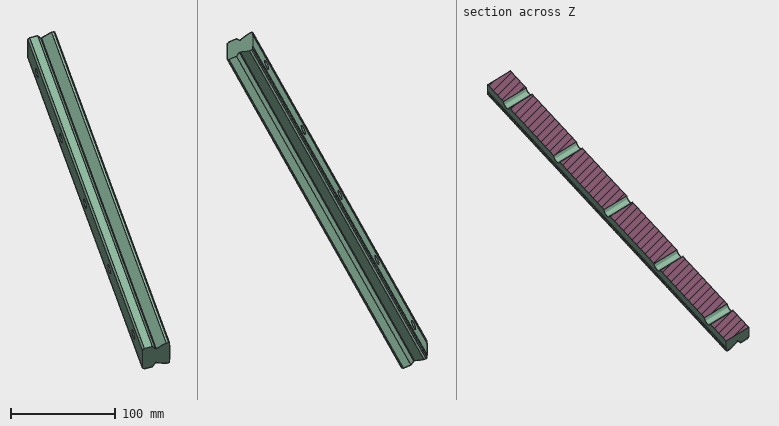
import cadquery as cq
import math

LENGTH = 380.0
HEIGHT = 27.5
WIDTH = 34.0

HOLE_DIAMETER = 9.0
HOLE_COUNT = 5
HOLE_PITCH = 80.0

BASE_CHAMFER = 2.0
BASE_FLANK_TOP = 10.0
GROOVE_FLOOR = 0.8
GROOVE_LOWER_ANGLE = 60.0
GROOVE_UPPER_ANGLE = 30.0
SLOPE_BREAK_HEIGHT = 21.1
LEAD_IN_ANGLE = 23.0
HEAD_FLANK_BOTTOM = 23.9
HEAD_CHAMFER = 1.1
TOP_PAD_HALF_WIDTH = 11.2
TOP_PAD_HEIGHT = 0.2


def slope(angle):
    """Inset gained per unit of height on a wall tilted by the angle from the Y axis."""
    return math.tan(math.radians(angle))


def half_section():
    """Corner points (Y, Z) of the +Z side, from the mounting face to the top face."""
    side = WIDTH / 2
    shoulder = HEIGHT - TOP_PAD_HEIGHT
    break_inset = (HEAD_FLANK_BOTTOM - SLOPE_BREAK_HEIGHT) * slope(LEAD_IN_ANGLE)

    lower = slope(GROOVE_LOWER_ANGLE)
    upper = slope(GROOVE_UPPER_ANGLE)
    wall_span = SLOPE_BREAK_HEIGHT - BASE_FLANK_TOP - GROOVE_FLOOR
    floor_inset = (wall_span + break_inset / upper) / (1 / lower + 1 / upper)
    floor_bottom = BASE_FLANK_TOP + floor_inset / lower

    return [
        (0, side - BASE_CHAMFER),
        (BASE_CHAMFER, side),
        (BASE_FLANK_TOP, side),
        (floor_bottom, side - floor_inset),
        (floor_bottom + GROOVE_FLOOR, side - floor_inset),
        (SLOPE_BREAK_HEIGHT, side - break_inset),
        (HEAD_FLANK_BOTTOM, side),
        (shoulder - HEAD_CHAMFER, side),
        (shoulder, side - HEAD_CHAMFER),
        (shoulder, TOP_PAD_HALF_WIDTH),
        (HEIGHT, TOP_PAD_HALF_WIDTH),
    ]


def make_rail():
    """Extrude the section, mirrored about the Z mid-plane, along X."""
    upper = half_section()
    lower = [(y, -z) for y, z in reversed(upper)]
    section = cq.Workplane("YZ").polyline(upper + lower).close()
    return section.extrude(LENGTH)


def make_holes():
    """Row of through holes centred on the rail length."""
    return (
        cq.Workplane("XZ", origin=(LENGTH / 2, 0, 0))
        .rarray(HOLE_PITCH, 1, HOLE_COUNT, 1)
        .circle(HOLE_DIAMETER / 2)
        .extrude(-HEIGHT)
    )


result = make_rail().cut(make_holes())